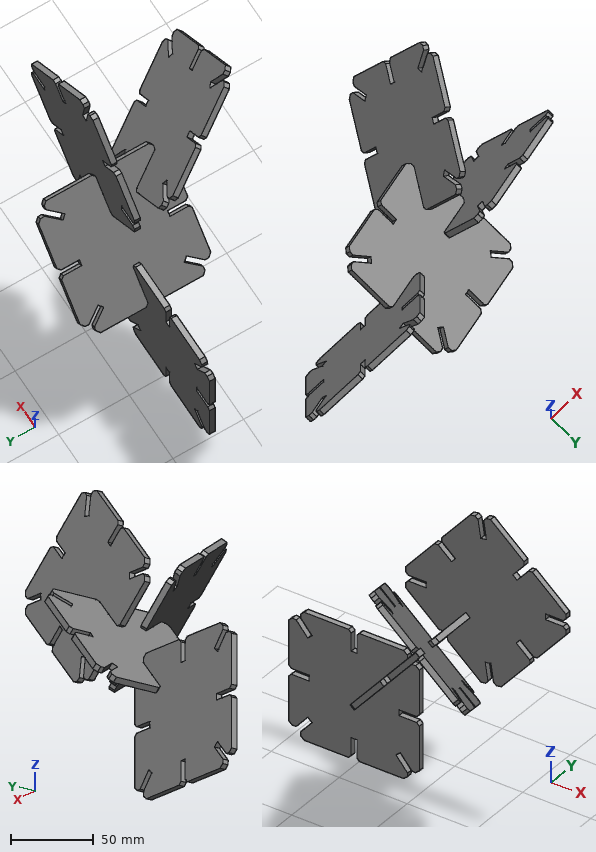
import cadquery as cq
import math

plate_length = 95.9
plate_width = 92.6
thickness = 4.1
corner_slot_angle = 49.39
corner_slot_end = (32.45, 29.98)

slot_width = 4.1
slot_depth = 15.0
mouth_bevel = 2.0

half_length = plate_length / 2
half_width = plate_width / 2
slot_end_offset = half_length - slot_depth


def direction(angle):
    """Unit vector in the plate's own plane, at an angle from its length."""
    return cq.Vector(math.cos(math.radians(angle)), math.sin(math.radians(angle)), 0)


def slot_outline(closed_end, angle):
    """Points of a slot that opens in the given direction, counter-clockwise round the plate."""
    outward = direction(angle)
    sideways = direction(angle + 90)
    half_slot = slot_width / 2
    right_side = [
        (slot_depth, half_slot + mouth_bevel),
        (slot_depth - mouth_bevel, half_slot),
        (0, half_slot),
    ]
    right = [closed_end + outward * run - sideways * offset for run, offset in right_side]
    left = [closed_end + outward * run + sideways * offset for run, offset in reversed(right_side)]
    return right + left


def corner_outline():
    """Points of the corner: a flat square to the corner slot, with the slot cut into it."""
    closed_end = cq.Vector(*corner_slot_end, 0)
    flat = direction(corner_slot_angle + 90)
    flat_middle = closed_end + direction(corner_slot_angle) * slot_depth
    flat_start = flat_middle + flat * ((half_length - flat_middle.x) / flat.x)
    flat_finish = flat_middle + flat * ((half_width - flat_middle.y) / flat.y)
    return [flat_start] + slot_outline(closed_end, corner_slot_angle) + [flat_finish]


def plate(center, length_direction, normal):
    """One plate centred on a point, lying across the given normal."""
    corner = [(p.x, p.y) for p in corner_outline()]
    end_slot = [(p.x, p.y) for p in slot_outline(cq.Vector(slot_end_offset, 0, 0), 0)]
    side_slot = [(p.x, p.y) for p in slot_outline(cq.Vector(0, half_width - slot_depth, 0), 90)]
    upper_right = corner + side_slot
    upper_left = [(-x, y) for x, y in reversed(corner)]
    half = end_slot + upper_right + upper_left
    outline = half + [(-x, -y) for x, y in half]
    plane = cq.Plane(origin=center, xDir=length_direction, normal=normal)
    return cq.Workplane(plane).polyline(outline).close().extrude(thickness / 2, both=True)


x_axis = cq.Vector(1, 0, 0)
y_axis = cq.Vector(0, 1, 0)
lower_center = cq.Vector(0, 0, 0)
slot_run = direction(corner_slot_angle)

slant = cq.Vector(slot_run.x, 0, slot_run.y)
slant_normal = slant.cross(y_axis)
cross_center = cq.Vector(corner_slot_end[0], 0, corner_slot_end[1]) + slant * slot_end_offset

upper_center = cross_center + slant * (2 * slot_end_offset)

branch = slant * slot_run.x - y_axis * slot_run.y
branch_slot_end = cross_center + slant * corner_slot_end[0] - y_axis * corner_slot_end[1]
branch_center = branch_slot_end + branch * slot_end_offset

placements = [
    (lower_center, x_axis, -y_axis),
    (cross_center, slant, slant_normal),
    (upper_center, slant, -y_axis),
    (branch_center, branch, branch.cross(slant_normal)),
]
plates = [plate(*placement).val() for placement in placements]

result = cq.Compound.makeCompound(plates)